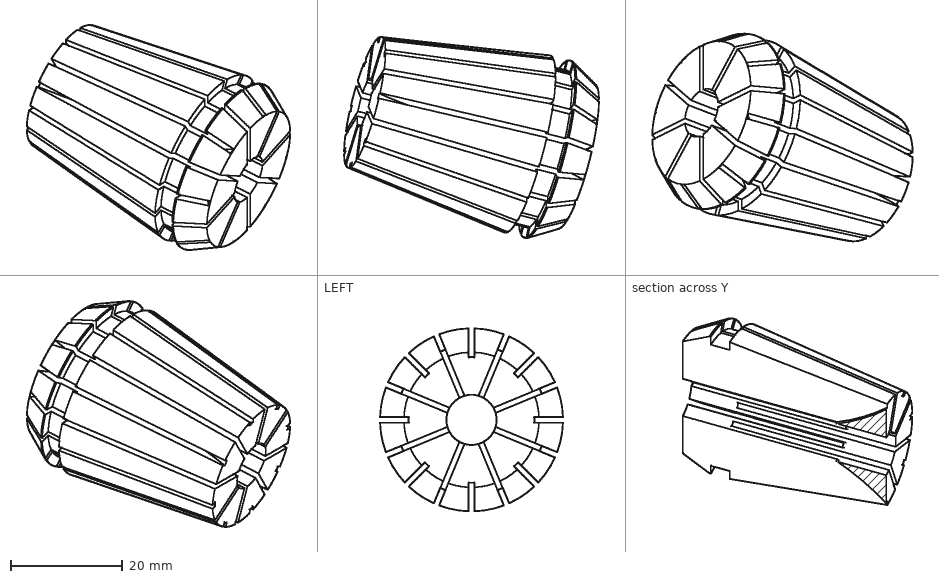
import cadquery as cq
import math

length = 40.0
outer_diameter = 33.0
outer_radius = outer_diameter / 2
bore_diameter = 9.0
bore_radius = bore_diameter / 2

taper_length = 30.8
taper_angle = 8.0
groove_end = 34.5
groove_radius = 14.6
land_width = 0.3
nose_angle = 30.0

slot_width = 1.0
slots_per_set = 8
slot_pitch = 360.0 / slots_per_set
nose_slot_floor = 11.35
nose_slot_runout = 9.75
rear_slot_floor = 13.65
rear_slot_runout = 9.25
saw_radius = 40.0
slot_top = outer_radius + 0.8


def make_body():
    """Revolve the collet outline, bore included, about the X axis."""
    small_end_radius = outer_radius - taper_length * math.tan(math.radians(taper_angle))
    land_end = groove_end + land_width
    nose_radius = outer_radius - (length - land_end) * math.tan(math.radians(nose_angle))
    outline = [
        (0, bore_radius),
        (0, small_end_radius),
        (taper_length, outer_radius),
        (taper_length, groove_radius),
        (groove_end, groove_radius),
        (groove_end, outer_radius),
        (land_end, outer_radius),
        (length, nose_radius),
        (length, bore_radius),
    ]
    return cq.Workplane("XY").polyline(outline).close().revolve(360, (0, 0, 0), (1, 0, 0))


def make_slot(closed_x, open_x, floor_radius, runout):
    """One slot on the +Z side, shallow at closed_x and down to the bore towards open_x."""
    direction = math.copysign(1, open_x - closed_x)
    bore_x = closed_x + direction * runout
    drop = floor_radius - bore_radius
    chord = math.hypot(runout, drop)
    runout_sag = saw_radius - math.sqrt(saw_radius**2 - (chord / 2) ** 2)
    middle_x = closed_x + direction * (runout / 2 - runout_sag * drop / chord)
    middle_radius = (floor_radius + bore_radius) / 2 - runout_sag * runout / chord
    return (
        cq.Workplane("XZ")
        .moveTo(closed_x, floor_radius)
        .threePointArc((middle_x, middle_radius), (bore_x, bore_radius))
        .lineTo(bore_x, 0)
        .lineTo(open_x, 0)
        .lineTo(open_x, slot_top)
        .lineTo(closed_x, slot_top)
        .close()
        .extrude(slot_width / 2, both=True)
    )


def cut_slot_set(body, slot, first_angle):
    """Cut equally spaced copies of a slot around the axis."""
    for index in range(slots_per_set):
        angle = first_angle + index * slot_pitch
        body = body.cut(slot.rotate((0, 0, 0), (1, 0, 0), angle))
    return body


nose_slot = make_slot(0, length, nose_slot_floor, nose_slot_runout)
rear_slot = make_slot(length, 0, rear_slot_floor, rear_slot_runout)

result = cut_slot_set(make_body(), nose_slot, 0)
result = cut_slot_set(result, rear_slot, slot_pitch / 2)